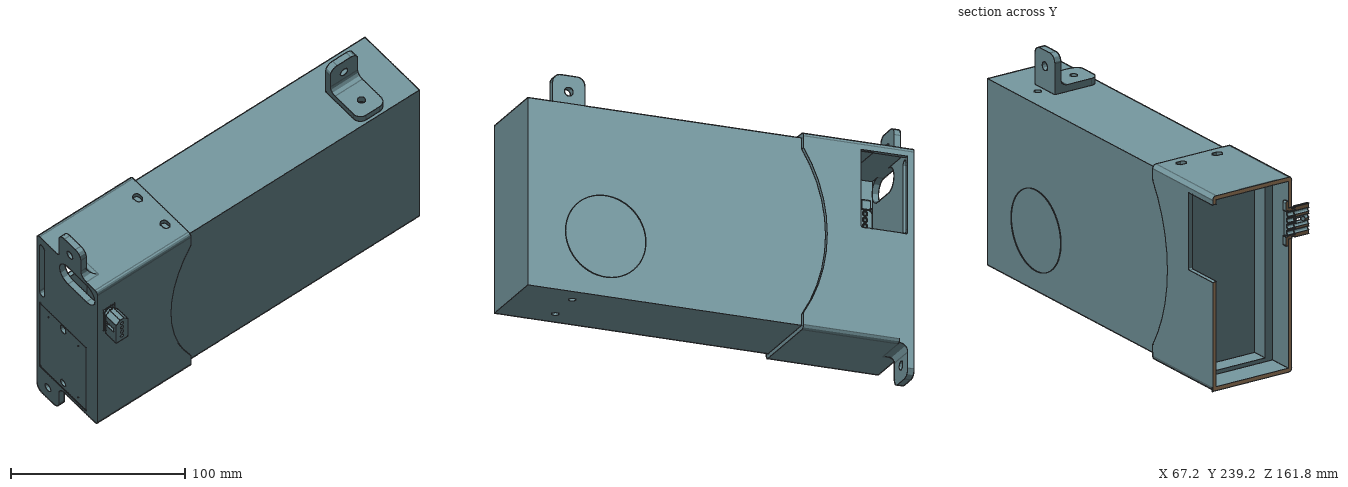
import cadquery as cq
import math

case_width = 50.0
case_height = 115.0
case_front_y = 24.2
case_rear_y = 239.2
bay_back_y = 34.7
bay_right_wall = 5.3
bay_edge_wall = 2.5
rear_hole_diameter = 4.3
hole_spacing = 25.0
mount_y = 206.5
disc_diameter = 50.0
disc_thickness = 0.5
disc_y = 190.6
disc_z = 39.7

cover_width = 55.5
side_wall = (cover_width - case_width) / 2
front_wall = 4.0
cover_length = 69.0
cover_edge_radius = 2.5
cover_height = case_height + 2 * side_wall
cover_left = -cover_width / 2
case_left = -case_width / 2
case_right = case_width / 2
case_bottom = side_wall
case_top = cover_height - side_wall
scallop_depth = 14.8
scallop_half_height = 50.7

tab_width = 20.0
tab_length = 19.9
tab_corner_radius = 5.0
tab_hole_diameter = 5.3
foot_radius = 5.0
small_foot_radius = 1.5
top_tab_left = cover_left + tab_width

window_rear_y = 33.0
window_bottom = 67.5
window_top = 115.0
window_corner_radius = 1.0

oval_width = 32.3
oval_height = 15.3
oval_center_x = 9.0
oval_center_z = case_top - oval_height / 2

narrow_slot_width = 4.5
narrow_slot_length = 45.7
narrow_slot_x = -23.2
narrow_slot_z = 91.4

top_slot_length = 6.5
top_slot_width = 4.5
top_slot_y = 62.0

recess_depth = 2.9
panel_gap = 0.7
recess_left = -25.5
recess_bottom = 2.5
recess_width = 42.8
recess_height = 58.0
panel_width = recess_width - panel_gap
panel_height = recess_height - panel_gap
panel_center_x = recess_left + panel_gap + panel_width / 2
panel_hole_diameter = 4.5
panel_hole_z = 8.0
panel_slot_z = 56.7
panel_slot_length = 6.2
mark_diameter = 0.5
mark_depth = 0.5
mark_spacing_x = 27.3
mark_low_z = 7.7
mark_high_z = 54.5

bracket_thickness = 4.3
bracket_width = 20.0
bracket_length = 30.5
bracket_height = 24.2
bracket_corner_radius = 5.0
bracket_inner_radius = 4.3
bracket_hole_diameter = 5.3
bracket_hole_height = 14.4
flange_hole_diameter = 4.5
bracket_left = top_tab_left

connector_y = 8.5
connector_z = 91.9
connector_width = 8.5
connector_height = 19.0
connector_reach = 11.7
connector_chamfer = 2.9
neck_length = 2.2
neck_inset = 0.7
ear_width = 5.3
ear_thickness = 1.7
ear_inner_offset = 8.0
ear_outer_offset = 13.9
ear_round_radius = 1.0
key_slot_length = 6.0
key_slot_height = 3.0
key_slot_gap = 1.0
sleeve_count = 4
sleeve_pitch = 3.8
sleeve_diameter = 3.3
sleeve_bore = 2.18
cover_right = cover_width / 2
plug_start = cover_right + neck_length
connector_end = cover_right + connector_reach


def block(x0, x1, y0, y1, z0, z1):
    """Box between two opposite corners."""
    return cq.Workplane("XY").box(x1 - x0, y1 - y0, z1 - z0, centered=False).translate((x0, y0, z0))


def along_y(x, y, z):
    """Workplane that extrudes toward +Y; its local axes are +X and -Z."""
    return cq.Workplane("XZ", origin=(x, y, z)).transformed(rotate=(180, 0, 0))


def arc_middle(center, radius, degrees):
    """Point on a circle, used as the middle of a quarter arc."""
    angle = math.radians(degrees)
    return (center[0] + radius * math.cos(angle), center[1] + radius * math.sin(angle))


def tab(left_foot_radius, embed):
    """Upward tab with its left edge on X = 0, its front on Y = 0 and its base on Z = 0.

    The foot flares to the right and rear, and to the left if left_foot_radius is given.
    It reaches down by embed so that it merges with the wall below.
    """
    plate = block(0, tab_width, 0, front_wall, -embed, tab_length)
    plate = plate.edges("|Y and >Z").fillet(tab_corner_radius)
    hole = along_y(tab_width / 2, 0, tab_length / 2).circle(tab_hole_diameter / 2).extrude(front_wall)

    r = foot_radius
    across = (
        cq.Workplane("XZ")
        .moveTo(tab_width + r, -embed)
        .lineTo(tab_width + r, 0)
        .threePointArc(arc_middle((tab_width + r, r), r, 225), (tab_width, r))
        .lineTo(0, r)
    )
    if left_foot_radius:
        s = left_foot_radius
        across = across.lineTo(0, s).threePointArc(arc_middle((-s, s), s, -45), (-s, 0)).lineTo(-s, -embed)
    else:
        across = across.lineTo(0, -embed)
    across = across.close().extrude(-(front_wall + r))
    along = (
        cq.Workplane("YZ", origin=(-r, 0, 0))
        .moveTo(0, -embed)
        .lineTo(0, r)
        .lineTo(front_wall, r)
        .threePointArc(arc_middle((front_wall + r, r), r, 225), (front_wall + r, 0))
        .lineTo(front_wall + r, -embed)
        .close()
        .extrude(tab_width + 3 * r)
    )
    return plate.union(across.intersect(along)).cut(hole)


def make_cover():
    shell = block(cover_left, cover_right, 0, cover_length, 0, cover_height)
    shell = shell.edges("|Y").fillet(cover_edge_radius)
    upper_tab = tab(small_foot_radius, cover_edge_radius).translate((top_tab_left, 0, cover_height))
    lower_tab = tab(0, cover_edge_radius).mirror("XY").translate((cover_left, 0, 0))
    shell = shell.union(upper_tab).union(lower_tab)

    cavity = block(case_left, case_right, front_wall, cover_length, case_bottom, case_top)
    shell = shell.cut(cavity)

    middle_z = cover_height / 2
    scallop = (
        cq.Workplane("YZ", origin=(cover_left, 0, 0))
        .moveTo(cover_length, middle_z - scallop_half_height)
        .threePointArc(
            (cover_length - scallop_depth, middle_z),
            (cover_length, middle_z + scallop_half_height),
        )
        .close()
        .extrude(cover_width)
    )
    shell = shell.cut(scallop)

    window = block(cover_left, case_left, front_wall, window_rear_y, window_bottom, window_top)
    window = window.edges("|X and <Z").fillet(window_corner_radius)
    shell = shell.cut(window)

    oval = along_y(oval_center_x, 0, oval_center_z).slot2D(oval_width, oval_height).extrude(front_wall)
    narrow_slot = (
        along_y(narrow_slot_x, 0, narrow_slot_z)
        .slot2D(narrow_slot_length, narrow_slot_width, 90)
        .extrude(front_wall)
    )
    top_slots = (
        cq.Workplane("XY", origin=(0, top_slot_y, case_top))
        .pushPoints([(-hole_spacing / 2, 0), (hole_spacing / 2, 0)])
        .slot2D(top_slot_length, top_slot_width)
        .extrude(side_wall)
    )
    panel_recess = block(
        recess_left, recess_left + recess_width,
        0, recess_depth,
        recess_bottom, recess_bottom + recess_height,
    )
    connector_hole = block(
        case_right, cover_right,
        connector_y - connector_width / 2, connector_y + connector_width / 2,
        connector_z - connector_height / 2, connector_z + connector_height / 2,
    )
    for opening in (oval, narrow_slot, top_slots, panel_recess, connector_hole):
        shell = shell.cut(opening)
    return shell


def disc_blank():
    return (
        cq.Workplane("YZ", origin=(case_left, disc_y, disc_z))
        .circle(disc_diameter / 2)
        .extrude(disc_thickness)
    )


def make_case():
    body = block(case_left, case_right, case_front_y, case_rear_y, case_bottom, case_top)
    bay = block(
        case_left, case_right - bay_right_wall,
        case_front_y, bay_back_y,
        case_bottom + bay_edge_wall, case_top - bay_edge_wall,
    )
    rear_holes = (
        cq.Workplane("XY", origin=(0, mount_y, case_bottom))
        .pushPoints([(-hole_spacing / 2, 0), (hole_spacing / 2, 0)])
        .circle(rear_hole_diameter / 2)
        .extrude(case_height)
    )
    return body.cut(bay).cut(rear_holes).cut(disc_blank())


def make_panel():
    left = recess_left + panel_gap
    bottom = recess_bottom + panel_gap
    plate = block(left, left + panel_width, 0, recess_depth, bottom, bottom + panel_height)
    round_hole = (
        along_y(panel_center_x, 0, panel_hole_z).circle(panel_hole_diameter / 2).extrude(recess_depth)
    )
    slotted_hole = (
        along_y(panel_center_x, 0, panel_slot_z)
        .slot2D(panel_slot_length, panel_hole_diameter, 90)
        .extrude(recess_depth)
    )
    plate = plate.cut(round_hole).cut(slotted_hole)
    for side, z in ((-1, mark_high_z), (1, mark_high_z), (1, mark_low_z)):
        x = panel_center_x + side * mark_spacing_x / 2
        plate = plate.cut(along_y(x, 0, z).circle(mark_diameter / 2).extrude(mark_depth))
    return plate


def make_bracket():
    """L bracket with one leg upright and one leg flat on the case."""
    y0 = mount_y - bracket_width / 2
    y1 = mount_y + bracket_width / 2
    upright_right = bracket_left + bracket_thickness
    flange_top = case_top + bracket_thickness
    upright = block(bracket_left, upright_right, y0, y1, case_top, case_top + bracket_height)
    upright = upright.edges("|X and >Z").fillet(bracket_corner_radius)
    flange = block(bracket_left, bracket_left + bracket_length, y0, y1, case_top, flange_top)
    flange = flange.edges("|Z and >X").fillet(bracket_corner_radius)
    r = bracket_inner_radius
    inner_fillet = (
        cq.Workplane("XZ", origin=(upright_right, y0, flange_top))
        .lineTo(r, 0)
        .threePointArc(arc_middle((r, r), r, 225), (0, r))
        .close()
        .extrude(-bracket_width)
    )
    upright_hole = (
        cq.Workplane("YZ", origin=(bracket_left, mount_y, case_top + bracket_hole_height))
        .circle(bracket_hole_diameter / 2)
        .extrude(bracket_thickness)
    )
    flange_hole = (
        cq.Workplane("XY", origin=(hole_spacing / 2, mount_y, case_top))
        .circle(flange_hole_diameter / 2)
        .extrude(bracket_thickness)
    )
    return upright.union(flange).union(inner_fillet).cut(upright_hole).cut(flange_hole)


def connector_section(x0, x1, inset):
    """Piece of the connector block, chamfered on its upper edges and shrunk all round by inset."""
    half_width = connector_width / 2 - inset
    half_height = connector_height / 2 - inset
    piece = block(
        x0, x1,
        connector_y - half_width, connector_y + half_width,
        connector_z - half_height, connector_z + half_height,
    )
    return piece.edges("|X and >Z").chamfer(connector_chamfer)


sleeve_heights = [
    connector_z + (i - (sleeve_count - 1) / 2) * sleeve_pitch for i in range(sleeve_count)
]


def rod(x0, x1, z, diameter):
    """Cylinder along X through the connector at height z."""
    return cq.Workplane("YZ", origin=(x0, connector_y, z)).circle(diameter / 2).extrude(x1 - x0)


def make_connector():
    body = connector_section(case_right, cover_right, 0)
    body = body.union(connector_section(cover_right, plug_start, neck_inset))
    body = body.union(connector_section(plug_start, connector_end, 0))
    for side in (-1, 1):
        z0, z1 = sorted((connector_z + side * ear_inner_offset, connector_z + side * ear_outer_offset))
        ear = block(
            case_right - ear_thickness, case_right,
            connector_y - ear_width / 2, connector_y + ear_width / 2,
            z0, z1,
        )
        outer_end = ">Z" if side > 0 else "<Z"
        ear = ear.faces(outer_end).edges("<X").fillet(ear_round_radius)
        body = body.union(ear)
    key_start = plug_start + key_slot_gap
    key_slot = block(
        key_start, key_start + key_slot_length,
        connector_y - connector_width / 2, connector_y + connector_width / 2,
        connector_z - key_slot_height / 2, connector_z + key_slot_height / 2,
    )
    body = body.cut(key_slot)
    for z in sleeve_heights:
        body = body.cut(rod(case_right, plug_start, z, sleeve_diameter))
        body = body.cut(rod(plug_start, connector_end, z, sleeve_bore))
    return body


def make_sleeve(z):
    return rod(case_right, plug_start, z, sleeve_diameter).cut(rod(case_right, plug_start, z, sleeve_bore))


case = make_case()
cover = make_cover()
disc = disc_blank()
panel = make_panel()
bracket = make_bracket()
connector = make_connector()
sleeves = [make_sleeve(z) for z in sleeve_heights]

result = cq.Compound.makeCompound(
    [
        case.val(),
        cover.val(),
        disc.val(),
        panel.val(),
        bracket.val(),
        connector.val(),
        *[sleeve.val() for sleeve in sleeves],
    ]
)